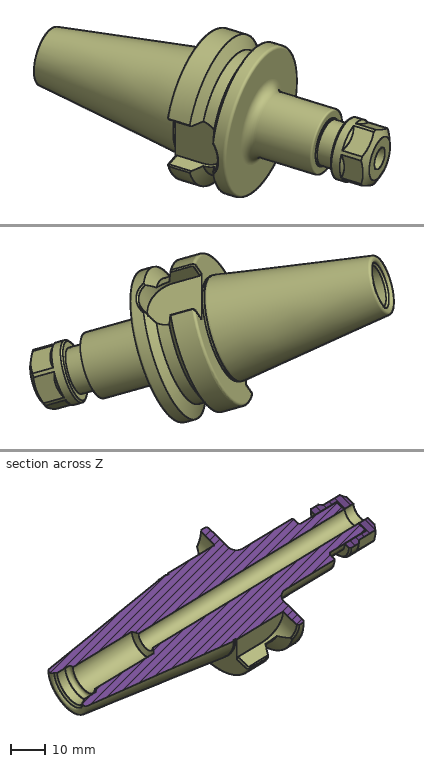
import cadquery as cq
import math


TAPER_END_X = 48.7
RELIEF_X = 49.5
FLANGE_X = 50.3
GROOVE_OPEN_X = 57.8
GROOVE_FLOOR_X = 60.1
GROOVE_FLOOR_END_X = 63.9
GROOVE_CLOSE_X = 65.9
FLANGE_END_X = 70.2
SHANK_END_X = 91.6
NUT_X = 97.4
HEX_X = 100.6
TOTAL_LENGTH = 108.8

TAPER_RATIO = 7 / 24
TAPER_LARGE_D = 32.0
TAPER_SMALL_D = TAPER_LARGE_D - TAPER_RATIO * TAPER_END_X
TIP_FILLET = 0.9
RELIEF_D = 31.4
FLANGE_D = 46.0
FLANGE_FRONT_FILLET = 0.9
FLANGE_BACK_FILLET = 0.9
GROOVE_D = 38.0
SHANK_D = 20.0
SHANK_ROOT_FILLET = 3.0
SHANK_END_ROUND = 0.5
NECK_D = 14.0
NECK_STEP_D = 14.8

SLOT_HALF_WIDTH = 8.0
SLOT_END_X = 67.5
SLOT_FLOOR_Y = 16.1
SLOT_CHAMFER = 0.5

PILOT_D = 12.5
PILOT_MOUTH_D = 13.7
PILOT_MOUTH_ROUND = 1.0
PILOT_MOUTH_DEPTH = 1.6
PILOT_DEPTH = 4.6
SEAT_D = 12.4
SEAT_DEPTH = 6.5
SEAT_CORNER_ROUND = 0.9
BORE_D = 10.2
BORE_DEPTH = 28.3
DRILL_POINT_ANGLE = 118.0
THROUGH_D = 6.6

NUT_D = 18.9
NUT_EDGE_CHAMFER = 0.5
HEX_FLATS = 17.0
HEX_CONE_ANGLE = 60.0
NUT_FACE_D = 13.3
NUT_LIP = 3.3


ARC_MIDDLE = 1 - math.sqrt(0.5)


def x_cylinder(diameter, start, end):
    return cq.Workplane("YZ", origin=(start, 0, 0)).circle(diameter / 2).extrude(end - start)


def revolve_about_x(outline):
    return outline.close().revolve(360, (0, 0, 0), (1, 0, 0))


def taper_body():
    outline = (
        cq.Workplane("XY")
        .lineTo(0, TAPER_SMALL_D / 2)
        .lineTo(TAPER_END_X, TAPER_LARGE_D / 2)
        .lineTo(RELIEF_X, TAPER_LARGE_D / 2)
        .lineTo(RELIEF_X, RELIEF_D / 2)
        .lineTo(FLANGE_X, RELIEF_D / 2)
        .lineTo(FLANGE_X, 0)
    )
    return revolve_about_x(outline).faces("<X").edges().fillet(TIP_FILLET)


def drive_slot(side):
    """Tool for the round-ended slot on the +Y (side = 1) or -Y (side = -1) flank, open toward -X."""
    arc_center_x = SLOT_END_X - SLOT_HALF_WIDTH
    plane = cq.Plane(origin=(0, side * SLOT_FLOOR_Y, 0), xDir=(1, 0, 0), normal=(0, side, 0))
    return (
        cq.Workplane(plane)
        .moveTo(FLANGE_X, SLOT_HALF_WIDTH)
        .lineTo(arc_center_x, SLOT_HALF_WIDTH)
        .threePointArc((SLOT_END_X, 0), (arc_center_x, -SLOT_HALF_WIDTH))
        .lineTo(FLANGE_X, -SLOT_HALF_WIDTH)
        .close()
        .extrude(FLANGE_D / 2)
    )


def slot_rim_edges(body):
    """Edges where the slot walls meet the flange face and the flange rim."""
    slack = 0.1
    arc_center_x = SLOT_END_X - SLOT_HALF_WIDTH
    rim_edges = []
    for edge in body.edges().vals():
        center = edge.Center()
        near_slot = center.x < SLOT_END_X + slack and abs(center.z) < SLOT_HALF_WIDTH + slack
        above_floor = abs(center.y) > SLOT_FLOOR_Y + slack
        wall_seam = edge.geomType() == "LINE" and abs(center.x - arc_center_x) < slack
        if near_slot and above_floor and not wall_seam:
            rim_edges.append(edge)
    return rim_edges


def flange():
    rim = FLANGE_D / 2
    body = x_cylinder(FLANGE_D, FLANGE_X, FLANGE_END_X)
    body = body.faces("<X").edges().fillet(FLANGE_FRONT_FILLET)
    body = body.faces(">X").edges().fillet(FLANGE_BACK_FILLET)
    for side in (1, -1):
        body = body.cut(drive_slot(side))
    body = body.newObject(slot_rim_edges(body)).chamfer(SLOT_CHAMFER)
    groove = revolve_about_x(
        cq.Workplane("XY")
        .moveTo(GROOVE_OPEN_X, rim)
        .lineTo(GROOVE_FLOOR_X, GROOVE_D / 2)
        .lineTo(GROOVE_FLOOR_END_X, GROOVE_D / 2)
        .lineTo(GROOVE_CLOSE_X, rim)
    )
    return body.cut(groove)


def shank_and_neck():
    """Shank with a concave root on the flange, then the neck that carries the nut."""
    shank = SHANK_D / 2
    root = SHANK_ROOT_FILLET
    bulge = root * ARC_MIDDLE
    end_bulge = SHANK_END_ROUND * ARC_MIDDLE
    cone_length = (NECK_STEP_D - NECK_D) / 2
    outline = (
        cq.Workplane("XY")
        .moveTo(FLANGE_END_X, 0)
        .lineTo(FLANGE_END_X, shank + root)
        .threePointArc((FLANGE_END_X + bulge, shank + bulge), (FLANGE_END_X + root, shank))
        .lineTo(SHANK_END_X - SHANK_END_ROUND, shank)
        .threePointArc((SHANK_END_X - end_bulge, shank - end_bulge), (SHANK_END_X, shank - SHANK_END_ROUND))
        .lineTo(SHANK_END_X, NECK_STEP_D / 2)
        .lineTo(SHANK_END_X + cone_length, NECK_D / 2)
        .lineTo(TOTAL_LENGTH - NUT_LIP, NECK_D / 2)
        .lineTo(TOTAL_LENGTH - NUT_LIP, 0)
    )
    return revolve_about_x(outline)


def holder_bore():
    """Stepped bore: rounded mouth, pilot, seat, drilled bore with its point, through hole."""
    mouth = PILOT_MOUTH_D / 2
    lip = PILOT_MOUTH_ROUND
    bulge = lip * ARC_MIDDLE
    seat = SEAT_D / 2
    corner = SEAT_CORNER_ROUND
    corner_bulge = corner * ARC_MIDDLE
    point_length = (BORE_D - THROUGH_D) / 2 / math.tan(math.radians(DRILL_POINT_ANGLE / 2))
    outline = (
        cq.Workplane("XY")
        .lineTo(0, mouth + lip)
        .threePointArc((bulge, mouth + bulge), (lip, mouth))
        .lineTo(PILOT_MOUTH_DEPTH, PILOT_D / 2)
        .lineTo(PILOT_DEPTH, PILOT_D / 2)
        .lineTo(PILOT_DEPTH, seat)
        .lineTo(SEAT_DEPTH - corner, seat)
        .threePointArc((SEAT_DEPTH - corner_bulge, seat - corner_bulge), (SEAT_DEPTH, seat - corner))
        .lineTo(SEAT_DEPTH, BORE_D / 2)
        .lineTo(BORE_DEPTH, BORE_D / 2)
        .lineTo(BORE_DEPTH + point_length, THROUGH_D / 2)
        .lineTo(TOTAL_LENGTH, THROUGH_D / 2)
        .lineTo(TOTAL_LENGTH, 0)
    )
    return revolve_about_x(outline)


def make_holder():
    return taper_body().union(flange()).union(shank_and_neck()).cut(holder_bore())


def make_nut():
    """Clamping nut: round collar, hexagon with coned ends, thread bore and front wall."""
    outer = NUT_D / 2
    flat = HEX_FLATS / 2
    end_cone = (outer - NUT_FACE_D / 2) / math.tan(math.radians(HEX_CONE_ANGLE))
    collar = revolve_about_x(
        cq.Workplane("XY")
        .moveTo(NUT_X, 0)
        .lineTo(NUT_X, outer - NUT_EDGE_CHAMFER)
        .lineTo(NUT_X + NUT_EDGE_CHAMFER, outer)
        .lineTo(HEX_X, outer)
        .lineTo(HEX_X + outer - flat, flat)
        .lineTo(HEX_X + outer - flat, 0)
    )
    turned_blank = revolve_about_x(
        cq.Workplane("XY")
        .moveTo(HEX_X, 0)
        .lineTo(HEX_X, outer)
        .lineTo(TOTAL_LENGTH - end_cone, outer)
        .lineTo(TOTAL_LENGTH, NUT_FACE_D / 2)
        .lineTo(TOTAL_LENGTH, 0)
    )
    corner_diameter = HEX_FLATS / math.cos(math.radians(30))
    hexagon = (
        cq.Workplane("YZ", origin=(HEX_X, 0, 0))
        .transformed(rotate=(0, 0, 90))
        .polygon(6, corner_diameter)
        .extrude(TOTAL_LENGTH - HEX_X)
    )
    nut = collar.union(turned_blank.intersect(hexagon))
    nut = nut.cut(x_cylinder(NECK_D, NUT_X, TOTAL_LENGTH - NUT_LIP))
    return nut.cut(x_cylinder(THROUGH_D, NUT_X, TOTAL_LENGTH))


holder = make_holder()
nut = make_nut()
result = cq.Compound.makeCompound([holder.val(), nut.val()])